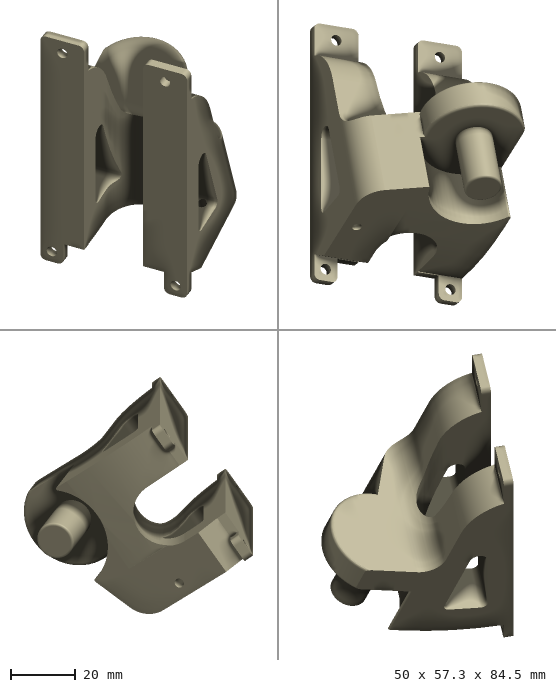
import cadquery as cq
import math

WIDTH = 50.0
HEIGHT = 84.5
PLATE = 3.05
CORNER_RADIUS = 1.95

CHANNEL_RADIUS = 10.1
CHANNEL_Y = 15.3

TAB_HEIGHT = 7.9
TAB_WIDTH = 7.9
HOLE_DIAMETER = 3.5
TOP_HOLE_INSET_Z = 4.65
BOTTOM_HOLE_INSET = 3.9

TILT = math.radians(20)
BASE_W = 1.4
PLATFORM_W = 31.35
PLATFORM_THICKNESS = 10.0
UNDERSIDE_W = PLATFORM_W - PLATFORM_THICKNESS
LEG_FACE_U = 36.6
LEG_ARC_W = 52.2
INNER_FILLET = 7.0
BODY_TOP_Z = 73.7

DISC_X = 14.0
DISC_U = 53.0
DISC_RADIUS = 16.1
DISC_FILLET = 1.0
BOSS_RADIUS = 5.8
BOSS_FILLET = 0.8
CLEARANCE_RADIUS = 17.0
CLEARANCE_ROUND = 0.5

FLANK_X = 29.3
FLANK_U = 50.55
FLANK_ANGLE = math.radians(20)
FLANK_RADIUS = 9.3

RIB_Y = 10.15
FOOT_Z = 8.1
RELIEF_START_U = 37.9
RELIEF_WIDTH = WIDTH / 2 + 8.45

WINDOW_Y = 8.2
WINDOW_U = 28.6
WINDOW_FLOOR_Z = 19.2
WINDOW_FLOOR_ANGLE = math.radians(10)
WINDOW_TOP_RADIUS = 2.9
WINDOW_FLOOR_RADIUS = 1.9

RIB_HOLE_DIAMETER = 3.0
RIB_HOLE_X = 45.4
RIB_HOLE_U = 26.6

REACH = 101.4


def side_point(u, w):
    """(Y, Z) of a point in the tilted frame."""
    return (u * math.cos(TILT) - w * math.sin(TILT), u * math.sin(TILT) + w * math.cos(TILT))


def base_z(y):
    """Height of the tilted base plane at a given Y."""
    return BASE_W / math.cos(TILT) + y * math.tan(TILT)


def tilted(w):
    """Workplane in X and U at height W."""
    normal = (0, -math.sin(TILT), math.cos(TILT))
    return cq.Workplane(cq.Plane((0, 0, 0), (1, 0, 0), normal)).workplane(offset=w)


def side():
    return cq.Workplane("YZ")


def plates():
    def plate(x, tab_x):
        upper = (
            cq.Workplane("XY")
            .box(leg_width, PLATE, HEIGHT - TAB_HEIGHT, centered=False)
            .edges("|Y and >Z")
            .fillet(CORNER_RADIUS)
            .translate((x, 0, TAB_HEIGHT))
        )
        tab = (
            cq.Workplane("XY")
            .box(TAB_WIDTH, PLATE, 2 * TAB_HEIGHT, centered=False)
            .edges("|Y and <Z")
            .fillet(CORNER_RADIUS)
            .translate((tab_x, 0, 0))
        )
        return upper.union(tab)

    leg_width = WIDTH / 2 - CHANNEL_RADIUS
    right_plate = plate(WIDTH - leg_width, WIDTH - TAB_WIDTH)
    return plate(0, 0).union(right_plate)


def side_profile():
    """Side outline: upright leg, platform arm and tilted base with its rib."""
    end_u = DISC_U + DISC_RADIUS
    return (
        side()
        .moveTo(*side_point(end_u, BASE_W))
        .lineTo(*side_point(end_u, PLATFORM_W))
        .lineTo(*side_point(LEG_FACE_U + INNER_FILLET, PLATFORM_W))
        .tangentArcPoint(side_point(LEG_FACE_U, PLATFORM_W + INNER_FILLET), relative=False)
        .lineTo(*side_point(LEG_FACE_U, LEG_ARC_W))
        .tangentArcPoint((PLATE, BODY_TOP_Z), relative=False)
        .lineTo(0, BODY_TOP_Z)
        .lineTo(0, FOOT_Z)
        .lineTo(PLATE, FOOT_Z)
        .lineTo(RIB_Y, base_z(RIB_Y))
        .close()
        .extrude(WIDTH)
    )


def body_plan():
    """Outline along the platform normal, with the rounded flank on the +X side."""
    def flank_u(x):
        return FLANK_U - (x - FLANK_X) * math.tan(FLANK_ANGLE)

    arc_x = WIDTH - FLANK_RADIUS * (1 - math.sin(FLANK_ANGLE))
    arc_end_u = flank_u(arc_x) - FLANK_RADIUS * math.cos(FLANK_ANGLE)
    return (
        tilted(-REACH)
        .moveTo(0, -REACH)
        .lineTo(WIDTH, -REACH)
        .lineTo(WIDTH, arc_end_u)
        .tangentArcPoint((arc_x, flank_u(arc_x)), relative=False)
        .lineTo(FLANK_X, FLANK_U)
        .lineTo(0, FLANK_U)
        .close()
        .extrude(2 * REACH)
    )


def clearance():
    return tilted(-REACH).center(DISC_X, DISC_U).circle(CLEARANCE_RADIUS).extrude(REACH + UNDERSIDE_W)


def platform():
    """Filleted disc cut flush with the X = 0 side, with the boss below it."""
    disc = (
        tilted(UNDERSIDE_W)
        .center(DISC_X, DISC_U)
        .circle(DISC_RADIUS)
        .extrude(PLATFORM_THICKNESS)
        .edges()
        .fillet(DISC_FILLET)
    )
    outside = cq.Workplane("XY").box(REACH, 2 * REACH, 2 * REACH).translate((-REACH / 2, 0, 0))
    boss = (
        tilted(BASE_W)
        .center(DISC_X, DISC_U)
        .circle(BOSS_RADIUS)
        .extrude(UNDERSIDE_W - BASE_W + DISC_FILLET)
        .faces("<Z")
        .edges()
        .fillet(BOSS_FILLET)
    )
    return disc.cut(outside).union(boss)


def relief():
    """Curved hollow under the body that leaves the rib standing on the +X leg."""
    return (
        side()
        .moveTo(*side_point(REACH, BASE_W))
        .lineTo(*side_point(RELIEF_START_U, BASE_W))
        .tangentArcPoint((PLATE, FOOT_Z), relative=False)
        .lineTo(PLATE, -REACH)
        .lineTo(REACH, -REACH)
        .close()
        .extrude(RELIEF_WIDTH)
    )


def window():
    def slope_y(z):
        return (WINDOW_U - z * math.sin(TILT)) / math.cos(TILT)

    floor_slope = math.tan(WINDOW_FLOOR_ANGLE)
    apex_z = (WINDOW_U - WINDOW_Y * math.cos(TILT)) / math.sin(TILT)
    outer_y = (slope_y(WINDOW_FLOOR_Z) + WINDOW_Y * floor_slope * math.tan(TILT)) / (
        1 + floor_slope * math.tan(TILT)
    )
    outer_z = WINDOW_FLOOR_Z + (outer_y - WINDOW_Y) * floor_slope
    return (
        side()
        .polyline([(WINDOW_Y, WINDOW_FLOOR_Z), (outer_y, outer_z), (WINDOW_Y, apex_z)])
        .close()
        .extrude(WIDTH)
        .edges("|X and >Z")
        .fillet(WINDOW_TOP_RADIUS)
        .edges(cq.selectors.BoxSelector((-0.85, 0, 0), (WIDTH + 0.85, REACH, outer_z + 0.85)))
        .edges("|X")
        .fillet(WINDOW_FLOOR_RADIUS)
    )


def channel():
    return (
        cq.Workplane("XY")
        .center(WIDTH / 2, CHANNEL_Y)
        .circle(CHANNEL_RADIUS)
        .extrude(HEIGHT)
        .union(
            cq.Workplane("XY")
            .box(2 * CHANNEL_RADIUS, CHANNEL_Y, HEIGHT, centered=False)
            .translate((WIDTH / 2 - CHANNEL_RADIUS, 0, 0))
        )
    )


def screw_holes():
    top_x = (WIDTH / 2 - CHANNEL_RADIUS) / 2
    points = []
    for inset_x, z in ((top_x, HEIGHT - TOP_HOLE_INSET_Z), (BOTTOM_HOLE_INSET, BOTTOM_HOLE_INSET)):
        points += [(inset_x, z), (WIDTH - inset_x, z)]
    return cq.Workplane("XZ").pushPoints(points).circle(HOLE_DIAMETER / 2).extrude(-PLATE)


def rib_hole():
    return tilted(0).center(RIB_HOLE_X, RIB_HOLE_U).circle(RIB_HOLE_DIAMETER / 2).extrude(WINDOW_FLOOR_Z)


def body():
    """Body with the boss clearance cut out and its two upright mouth edges rounded."""
    hollowed = side_profile().intersect(body_plan()).cut(clearance())
    mid_w = (BASE_W + UNDERSIDE_W) / 2
    flank_corner = tilted(mid_w).center(FLANK_X, FLANK_U).val()
    side_corner = tilted(mid_w).center(0, DISC_U - math.sqrt(CLEARANCE_RADIUS**2 - DISC_X**2)).val()
    for corner in (flank_corner, side_corner):
        nearest = cq.selectors.NearestToPointSelector(corner.toTuple())
        upright = cq.selectors.ParallelDirSelector(cq.Vector(0, -math.sin(TILT), math.cos(TILT)))
        hollowed = hollowed.edges(upright).edges(nearest).fillet(CLEARANCE_ROUND)
    return hollowed.cut(relief())


result = body().union(platform()).union(plates())
for cutter in (window(), channel(), screw_holes(), rib_hole()):
    result = result.cut(cutter)